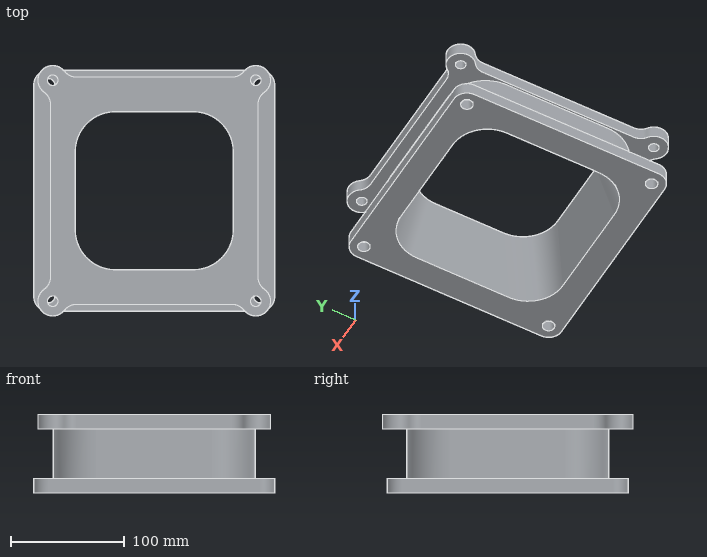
import cadquery as cq

overall_length_y = 220.49
total_height = 69.23
plate_thickness = 13.0

base_side = 212.18
base_corner_radius = 13.0
base_hole_spacing = 186.0
base_hole_diameter = 11.0

upper_length_x = 182.5
upper_length_y = 200.0
lug_radius = 13.0
lug_spacing_x = 178.6
lug_spacing_y = overall_length_y - 2 * lug_radius
lug_hole_diameter = 9.2
lug_blend_radius = 13.0

duct_side = 178.0
duct_corner_radius = 38.1

opening_top_side = 138.8
opening_bottom_side = 163.0
opening_corner_radius = 35.0


def rounded_block(side, corner_radius, height):
    """Square block standing on Z = 0 with rounded vertical edges."""
    return cq.Workplane("XY").rect(side, side).extrude(height).edges("|Z").fillet(corner_radius)


def drill_corners(plate, spacing_x, spacing_y, diameter):
    """Drill a hole through the plate at each corner of a rectangle."""
    pattern = plate.faces(">Z").workplane(origin=(0, 0, 0)).rect(spacing_x, spacing_y, forConstruction=True)
    return pattern.vertices().hole(diameter)


def lower_flange():
    plate = rounded_block(base_side, base_corner_radius, plate_thickness)
    return drill_corners(plate, base_hole_spacing, base_hole_spacing, base_hole_diameter)


def upper_flange():
    plate = cq.Workplane("XY").rect(upper_length_x, upper_length_y).extrude(plate_thickness)
    lugs = (
        cq.Workplane("XY")
        .rect(lug_spacing_x, lug_spacing_y, forConstruction=True)
        .vertices()
        .circle(lug_radius)
        .extrude(plate_thickness)
    )
    plate = plate.union(lugs)
    plate = plate.edges("|Z").fillet(lug_blend_radius)
    plate = drill_corners(plate, lug_spacing_x, lug_spacing_y, lug_hole_diameter)
    return plate.translate((0, 0, total_height - plate_thickness))


def flared_opening():
    bottom = cq.Sketch().rect(opening_bottom_side, opening_bottom_side).vertices().fillet(opening_corner_radius)
    top = cq.Sketch().rect(opening_top_side, opening_top_side).vertices().fillet(opening_corner_radius)
    top_position = cq.Location(cq.Vector(0, 0, total_height))
    return cq.Workplane("XY").placeSketch(bottom, top.moved(top_position)).loft(ruled=True)


duct = rounded_block(duct_side, duct_corner_radius, total_height)

result = lower_flange().union(duct).union(upper_flange()).cut(flared_opening())